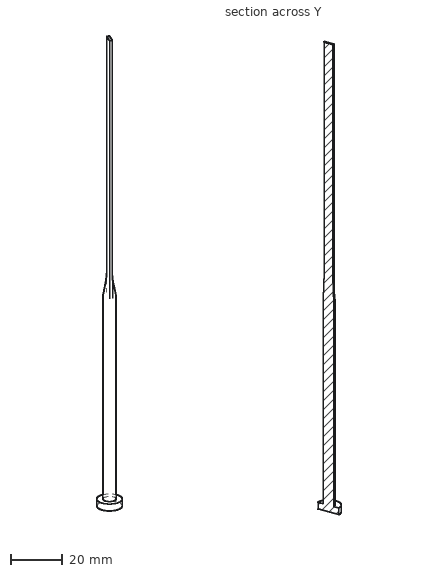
import cadquery as cq
import math

total_length = 200.0
head_diameter = 10.0
head_thickness = 3.0
shaft_diameter = 5.2
shaft_top = 90.0

blade_width = 4.5
blade_thickness = 1.2
blade_start = 100.0

shaft_radius = shaft_diameter / 2
half_width = blade_width / 2
half_thickness = blade_thickness / 2


def make_head_and_shaft():
    head = cq.Workplane("XY").circle(head_diameter / 2).extrude(head_thickness)
    shaft = cq.Workplane("XY").circle(shaft_radius).extrude(shaft_top)
    return head.union(shaft)


def make_transition():
    """Ruled loft from the shaft circle to the blade rectangle.

    The circle is split level with the blade faces, so each of its four arcs
    runs to one side of the rectangle.
    """
    corner_x = math.sqrt(shaft_radius**2 - half_thickness**2)
    return (
        cq.Workplane("XY", origin=(0, 0, shaft_top))
        .moveTo(corner_x, half_thickness)
        .threePointArc((0, shaft_radius), (-corner_x, half_thickness))
        .threePointArc((-shaft_radius, 0), (-corner_x, -half_thickness))
        .threePointArc((0, -shaft_radius), (corner_x, -half_thickness))
        .threePointArc((shaft_radius, 0), (corner_x, half_thickness))
        .close()
        .workplane(offset=blade_start - shaft_top)
        .moveTo(half_width, half_thickness)
        .lineTo(-half_width, half_thickness)
        .lineTo(-half_width, -half_thickness)
        .lineTo(half_width, -half_thickness)
        .close()
        .loft(ruled=True)
    )


def make_blade():
    return (
        cq.Workplane("XY", origin=(0, 0, blade_start))
        .rect(blade_width, blade_thickness)
        .extrude(total_length - blade_start)
    )


result = make_head_and_shaft().union(make_transition()).union(make_blade())